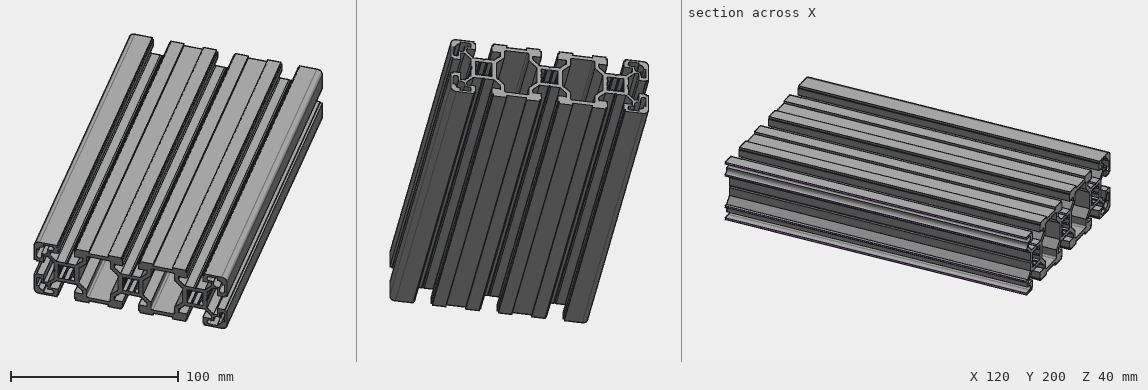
import cadquery as cq

module = 40.0
cell_count = 3
length = 200.0
width = cell_count * module
height = module
half_cell = module / 2
corner_radius = 3.5

slot_half_opening = 5.0
lip_thickness = 6.0
lip_step_width = 0.8
lip_step_depth = 1.5
slot_half_width = 10.2
slot_floor = 7.5
slot_floor_half_width = 6.2
floor_groove_half_width = 0.8
floor_groove_depth = 0.5

core_half = 5.0
core_rib_offset = 2.0
core_rib_half_width = 0.5
core_rib_height = 0.5

chamber_half_width = 12.2
chamber_neck_half_width = 7.5
chamber_half_height = 16.0
chamber_wall_half_height = 5.5
chamber_corner_radius = 1.2

recess_half_width = 6.0
recess_depth = 1.5

corner_wall = 1.5
channel_inset = 5.8
channel_radius = 2.8
arm_width = 3.2
arm_reach = 12.5

cell_centres = [(i - (cell_count - 1) / 2) * module for i in range(cell_count)]
chamber_centres = [x + half_cell for x in cell_centres[:-1]]


def prism(points):
    """Full-length bar with the given outline in X and Z."""
    return cq.Workplane("XZ").polyline(points).close().extrude(length / 2, both=True)


def box(x_min, x_max, z_min, z_max):
    """Full-length rectangular bar."""
    return prism([(x_min, z_min), (x_max, z_min), (x_max, z_max), (x_min, z_max)])


def rod(x, z, radius):
    """Full-length round bar."""
    return cq.Workplane("XZ").center(x, z).circle(radius).extrude(length / 2, both=True)


def turned(body, angle):
    """The body turned about the Y axis."""
    return body.rotate((0, 0, 0), (0, 1, 0), angle)


def t_slot():
    """Space of an upward-facing slot of a cell centred on the origin."""
    lip_bottom = half_cell - lip_thickness
    wall_bottom = slot_floor + slot_half_width - slot_floor_half_width
    right_side = [
        (floor_groove_half_width, slot_floor),
        (slot_floor_half_width, slot_floor),
        (slot_half_width, wall_bottom),
        (slot_half_width, lip_bottom),
        (slot_half_opening, lip_bottom),
        (slot_half_opening, half_cell - lip_step_depth),
        (slot_half_opening + lip_step_width, half_cell - lip_step_depth),
        (slot_half_opening + lip_step_width, half_cell),
    ]
    left_side = [(-x, z) for x, z in reversed(right_side)]
    return prism([(0, slot_floor - floor_groove_depth)] + right_side + left_side)


def core_hole():
    """Square hole with two small pointed ribs on each of its walls."""
    hole = box(-core_half, core_half, -core_half, core_half)
    for offset in (-core_rib_offset, core_rib_offset):
        rib = prism([
            (offset - core_rib_half_width, core_half),
            (offset + core_rib_half_width, core_half),
            (offset, core_half - core_rib_height),
        ])
        for angle in (0, 90, 180, 270):
            hole = hole.cut(turned(rib, angle))
    return hole


def chamber():
    """Hollow between two cells, with 45 degree shoulders and rounded outer corners."""
    shoulder = chamber_wall_half_height + chamber_half_width - chamber_neck_half_width
    neck = box(-chamber_neck_half_width, chamber_neck_half_width,
               -chamber_half_height, chamber_half_height)
    neck = neck.edges("|Y").fillet(chamber_corner_radius)
    middle = prism([
        (chamber_half_width, chamber_wall_half_height),
        (chamber_neck_half_width, shoulder),
        (-chamber_neck_half_width, shoulder),
        (-chamber_half_width, chamber_wall_half_height),
        (-chamber_half_width, -chamber_wall_half_height),
        (-chamber_neck_half_width, -shoulder),
        (chamber_neck_half_width, -shoulder),
        (chamber_half_width, -chamber_wall_half_height),
    ])
    return neck.union(middle)


def corner_cavity():
    """Cavity of the upper right corner of the profile."""
    x_channel = width / 2 - channel_inset
    z_channel = height / 2 - channel_inset
    arm_radius = arm_width / 2
    arm_inset = corner_wall + arm_radius
    arm_end = arm_reach - arm_radius

    x_end = width / 2 - arm_end
    z_arm = height / 2 - arm_inset
    flat_arm = box(x_end, x_channel, z_arm - arm_radius, z_arm + arm_radius)

    x_arm = width / 2 - arm_inset
    z_end = height / 2 - arm_end
    upright_arm = box(x_arm - arm_radius, x_arm + arm_radius, z_end, z_channel)

    cavity = rod(x_channel, z_channel, channel_radius)
    cavity = cavity.union(flat_arm).union(rod(x_end, z_arm, arm_radius))
    return cavity.union(upright_arm).union(rod(x_arm, z_end, arm_radius))


profile = cq.Workplane("XY").box(width, length, height).edges("|Y").fillet(corner_radius)

slot = t_slot()
for x in cell_centres:
    for angle in (0, 180):
        profile = profile.cut(turned(slot, angle).translate((x, 0, 0)))
profile = profile.cut(turned(slot, 90).translate((cell_centres[-1], 0, 0)))
profile = profile.cut(turned(slot, -90).translate((cell_centres[0], 0, 0)))

core = core_hole()
for x in cell_centres:
    profile = profile.cut(core.translate((x, 0, 0)))

hollow = chamber()
recess = box(-recess_half_width, recess_half_width, half_cell - recess_depth, half_cell)
for x in chamber_centres:
    profile = profile.cut(hollow.translate((x, 0, 0)))
    for angle in (0, 180):
        profile = profile.cut(turned(recess, angle).translate((x, 0, 0)))

right_cavities = corner_cavity()
right_cavities = right_cavities.union(right_cavities.mirror("XY"))
profile = profile.cut(right_cavities).cut(right_cavities.mirror("YZ"))

result = profile